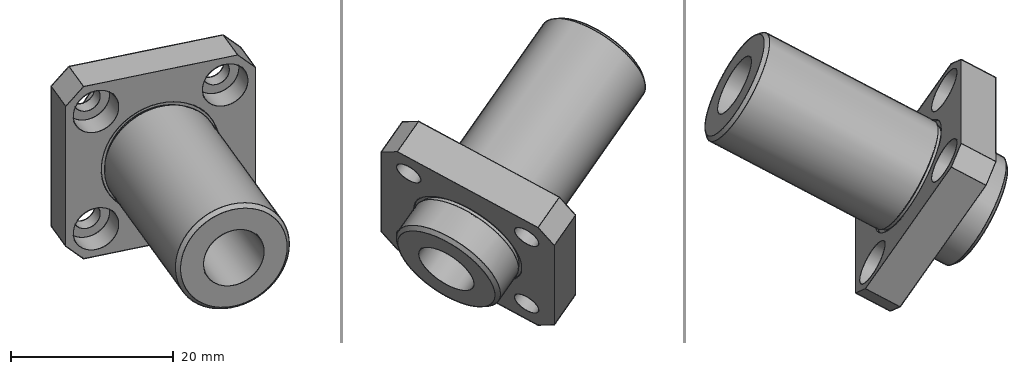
import cadquery as cq

length = 35.0
body_diameter = 15.0
bore_diameter = 7.98
end_chamfer = 0.5

flange_side = 25.0
flange_thickness = 5.0
flange_start = 5.0
corner_chamfer = 2.35

hole_diameter = 3.5
hole_spacing = 17.0
counterbore_diameter = 6.0
counterbore_depth = 3.1

relief_width = 0.28
relief_depth = 0.28
recess_diameter = 15.6
recess_depth = 0.3

body_radius = body_diameter / 2
relief_radius = body_radius - relief_depth
flange_end = flange_start + flange_thickness


def make_body():
    """Revolve the sleeve with chamfered ends and a relief groove on each side of the flange."""
    end_radius = body_radius - end_chamfer
    profile = [
        (0, 0),
        (0, end_radius),
        (end_chamfer, body_radius),
        (flange_start - relief_width, body_radius),
        (flange_start - relief_width, relief_radius),
        (flange_end + relief_width, relief_radius),
        (flange_end + relief_width, body_radius),
        (length - end_chamfer, body_radius),
        (length, end_radius),
        (length, 0),
    ]
    return cq.Workplane("XY").polyline(profile).close().revolve(360, (0, 0), (1, 0))


def make_flange():
    """Square mounting flange with cut corners and four holes counterbored from the +X face."""
    return (
        cq.Workplane("YZ", origin=(flange_start, 0, 0))
        .rect(flange_side, flange_side)
        .extrude(flange_thickness)
        .edges("|X")
        .chamfer(corner_chamfer)
        .faces(">X")
        .workplane()
        .rect(hole_spacing, hole_spacing, forConstruction=True)
        .vertices()
        .cboreHole(hole_diameter, counterbore_diameter, counterbore_depth)
    )


def make_face_recess(start):
    """Shallow disc that sinks one flange face around the sleeve."""
    return cq.Workplane("YZ", origin=(start, 0, 0)).circle(recess_diameter / 2).extrude(recess_depth)


flange = make_flange()
for recess_start in (flange_start, flange_end - recess_depth):
    flange = flange.cut(make_face_recess(recess_start))

bore = cq.Workplane("YZ").circle(bore_diameter / 2).extrude(length)
result = make_body().union(flange).cut(bore)